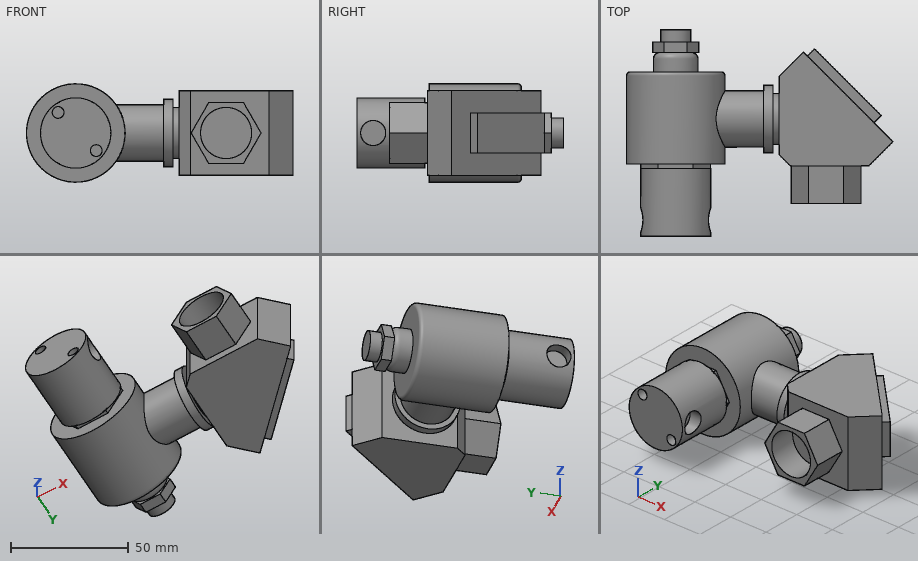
import cadquery as cq
import math


CONNECTOR_END = -50.0
HEX_END = -21.0
COIL_START = -19.2
COIL_END = 20.1
CAP_END = 28.3
NUT_END = 32.8
STUD_END = 38.1

COIL_RADIUS = 21.0
COIL_FILLET = 1.7
CAP_RADIUS = 9.5
CAP_FILLET = 2.7
NUT_FLATS = 17.0
STUD_RADIUS = 6.5
CONNECTOR_RADIUS = 15.0
HEX_FLATS = 25.8

CROSS_HOLE_RADIUS = 5.3
CROSS_HOLE_FROM_END = 6.9
CROSS_HOLE_DEPTH = 6.3
PIN_HOLE_RADIUS = 2.5
PIN_HOLE_DEPTH = 4.5
PIN_HOLE_NEAR = 7.5
PIN_HOLE_FAR = 8.8

PIPE_END = 37.5
FLANGE_END = 41.5
ELBOW_FACE = 44.1
PIPE_RADIUS = 12.0
FLANGE_RADIUS = 14.4
NECK_RADIUS = 10.9

ELBOW_BOTTOM = -20.0
ELBOW_HEIGHT = 36.0
FACE_LENGTH = 33.4
CORNER_CHAMFER = 4.8
END_CUT = 10.3
PLATE_LENGTH = 40.2
PLATE_THICKNESS = 4.3
PLATE_HEIGHT = 17.0
PLATE_END_OFFSET = 2.4
OUTLET_X = 64.1
OUTLET_LENGTH = 16.0
BORE_RADIUS = 10.9
BORE_DEPTH = 13.6


def plane_y(y):
    """Plane across Y, with +X to the right and its normal toward -Y."""
    return cq.Workplane(cq.Plane((0, y, 0), (1, 0, 0), (0, -1, 0)))


def disc_y(radius, start, end):
    return plane_y(end).circle(radius).extrude(end - start)


def hexagon_y(flats, start, end, x=0):
    """Hexagonal prism along Y with two corners pointing along X."""
    corners = flats / math.cos(math.pi / 6)
    return plane_y(end).center(x, 0).polygon(6, corners).extrude(end - start)


def disc_x(radius, start, end):
    return cq.Workplane("YZ", origin=(start, 0, 0)).circle(radius).extrude(end - start)


def make_valve():
    coil = disc_y(COIL_RADIUS, COIL_START, COIL_END).faces(">Y").edges().fillet(COIL_FILLET)
    cap = disc_y(CAP_RADIUS, COIL_END, CAP_END).faces(">Y").edges().fillet(CAP_FILLET)
    nut = hexagon_y(NUT_FLATS, CAP_END, NUT_END)
    stud = disc_y(STUD_RADIUS, NUT_END, STUD_END)
    collar = hexagon_y(HEX_FLATS, HEX_END, COIL_START)
    return coil.union(cap).union(nut).union(stud).union(collar).union(make_connector())


def make_connector():
    connector = disc_y(CONNECTOR_RADIUS, CONNECTOR_END, HEX_END)

    hole_y = CONNECTOR_END + CROSS_HOLE_FROM_END
    floor = CONNECTOR_RADIUS - CROSS_HOLE_DEPTH
    for start, end in ((-CONNECTOR_RADIUS, -floor), (floor, CONNECTOR_RADIUS)):
        hole = disc_x(CROSS_HOLE_RADIUS, start, end).translate((0, hole_y, 0))
        connector = connector.cut(hole)

    for x, z in ((-PIN_HOLE_NEAR, PIN_HOLE_FAR), (PIN_HOLE_FAR, -PIN_HOLE_NEAR)):
        hole = disc_y(PIN_HOLE_RADIUS, CONNECTOR_END, CONNECTOR_END + PIN_HOLE_DEPTH)
        connector = connector.cut(hole.translate((x, 0, z)))
    return connector


def make_pipe():
    """Flanged pipe whose inner end fits the round wall of the coil."""
    pipe = disc_x(PIPE_RADIUS, 0, PIPE_END)
    pipe = pipe.cut(disc_y(COIL_RADIUS, COIL_START, COIL_END))
    flange = disc_x(FLANGE_RADIUS, PIPE_END, FLANGE_END)
    neck = disc_x(NECK_RADIUS, FLANGE_END, ELBOW_FACE)
    return pipe.union(flange).union(neck)


def make_elbow():
    left_low = ELBOW_BOTTOM + CORNER_CHAMFER
    left_high = left_low + FACE_LENGTH
    bottom_near = ELBOW_FACE + CORNER_CHAMFER
    bottom_far = bottom_near + FACE_LENGTH
    slope_top = (ELBOW_FACE + END_CUT, left_high + END_CUT)
    slope_bottom = (bottom_far + END_CUT, ELBOW_BOTTOM + END_CUT)
    outline = [
        (ELBOW_FACE, left_low),
        (ELBOW_FACE, left_high),
        slope_top,
        slope_bottom,
        (bottom_far, ELBOW_BOTTOM),
        (bottom_near, ELBOW_BOTTOM),
    ]
    block = cq.Workplane("XY").polyline(outline).close().extrude(ELBOW_HEIGHT / 2, both=True)

    slope_plane = cq.Plane((*slope_top, 0), (1, -1, 0), (1, 1, 0))
    plate_centre = PLATE_END_OFFSET + PLATE_LENGTH / 2
    plate = cq.Workplane(slope_plane).center(plate_centre, 0)
    plate = plate.rect(PLATE_LENGTH, PLATE_HEIGHT).extrude(PLATE_THICKNESS)

    outlet_end = ELBOW_BOTTOM - OUTLET_LENGTH
    outlet = hexagon_y(HEX_FLATS, outlet_end, ELBOW_BOTTOM, OUTLET_X)
    bore = disc_y(BORE_RADIUS, outlet_end, outlet_end + BORE_DEPTH).translate((OUTLET_X, 0, 0))
    return block.union(plate).union(outlet).cut(bore)


valve = make_valve()
pipe = make_pipe()
elbow = make_elbow()

result = cq.Compound.makeCompound([valve.val(), pipe.val(), elbow.val()])